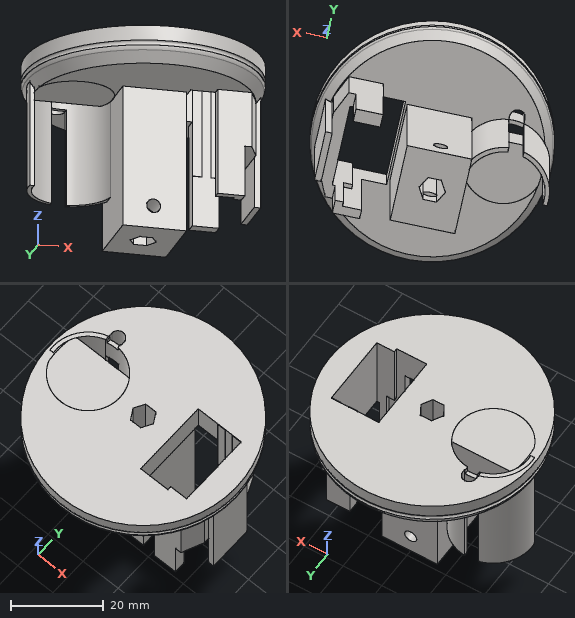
import cadquery as cq
import math

RIM_RADIUS = 26.5
CORE_RADIUS = 24.4
RIM_HEIGHT = 3.45
GROOVE_HEIGHT = 1.1
GROOVE_DEPTH = 0.35
SHOULDER_HEIGHT = 1.0
SHOULDER_INSET = 0.3
SHOULDER_BULGE = 0.1
LID_THICKNESS = 8.0

POST_LEFT = -6.9
POST_WIDTH = 14.3
POST_DEPTH_Y = 17.15
POST_BOTTOM = 40.0
HEX_ACROSS_FLATS = 5.05
CROSS_HOLE_DIAMETER = 3.1
CROSS_HOLE_DROP = 34.95

WELL_X = -15.75
WELL_RADIUS = 9.0
TUBE_RADIUS = 10.0
TUBE_BOTTOM = 30.0
TUBE_FRONT_Y = -1.05
PLUG_BACK_Y = 5.0

NOTCH_X = -16.5
NOTCH_DIAMETER = 3.4
NOTCH_Y = 10.75
NOTCH_SILL_LEFT = -17.85
NOTCH_SILL_RIGHT = -14.95
NOTCH_SILL_DROP = 1.25

BAY_LEFT = 7.9
BAY_RIGHT = 20.15
BAY_HALF_Y = 9.05
BAY_RELIEF_Y = 10.0
KEY_LEFT = 15.65
KEY_BOTTOM = 16.95
LOWER_KEY_LEFT = 17.65
HOLDER_LEFT = 13.45
HOLDER_HALF_Y = 12.0
HOLDER_SHOULDER_X = 21.1
HOLDER_RIGHT = 23.35
HOLDER_RIGHT_HALF_Y = 6.9
HOLDER_WALL_BOTTOM = 20.5
LEG_RIGHT = 19.5
LEG_BOTTOM = 31.95
TAB_RIGHT = 24.85
TAB_HALF_Y = 5.55

STRIP_THICKNESS = 0.1
STRIP_SPANS = [(HOLDER_LEFT, KEY_LEFT), (LOWER_KEY_LEFT, BAY_RIGHT)]


def block(x_min, x_max, y_min, y_max, top, bottom):
    """Box between the given sides, with top and bottom as distances below the lid's top face."""
    size = (x_max - x_min, y_max - y_min, bottom - top)
    return cq.Workplane("XY").box(*size, centered=False).translate((x_min, y_min, -bottom))


def rod(x, y, radius, top, bottom):
    """Vertical cylinder, with top and bottom as distances below the lid's top face."""
    return cq.Workplane("XY", origin=(x, y, -bottom)).circle(radius).extrude(bottom - top)


def lid_blank():
    groove_end = RIM_HEIGHT + GROOVE_HEIGHT
    shoulder_end = groove_end + SHOULDER_HEIGHT
    groove_middle = (RIM_RADIUS - GROOVE_DEPTH, -(RIM_HEIGHT + groove_end) / 2)
    shoulder_middle = (RIM_RADIUS - SHOULDER_BULGE, -(groove_end + shoulder_end) / 2)
    return (
        cq.Workplane("XZ")
        .lineTo(RIM_RADIUS, 0)
        .lineTo(RIM_RADIUS, -RIM_HEIGHT)
        .threePointArc(groove_middle, (RIM_RADIUS, -groove_end))
        .threePointArc(shoulder_middle, (RIM_RADIUS - SHOULDER_INSET, -shoulder_end))
        .lineTo(CORE_RADIUS, -LID_THICKNESS)
        .lineTo(0, -LID_THICKNESS)
        .close()
        .revolve(360, (0, 0), (0, 1))
    )


def post_blank():
    half_y = POST_DEPTH_Y / 2
    return block(POST_LEFT, POST_LEFT + POST_WIDTH, -half_y, half_y, 0, POST_BOTTOM)


def post_holes():
    hexagon = cq.Workplane("XY").polygon(6, HEX_ACROSS_FLATS / math.cos(math.pi / 6))
    cross_hole = (
        cq.Workplane("XZ", origin=(0, 0, -CROSS_HOLE_DROP))
        .circle(CROSS_HOLE_DIAMETER / 2)
        .extrude(POST_DEPTH_Y, both=True)
    )
    return hexagon.extrude(-POST_BOTTOM).union(cross_hole)


def well_opening():
    """Round well, trimmed on its outer side by the lid's core radius."""
    well = rod(WELL_X, 0, WELL_RADIUS, 0, LID_THICKNESS)
    return well.intersect(rod(0, 0, CORE_RADIUS, 0, LID_THICKNESS))


def tube_piece(x_min, x_max, top):
    """Part of the tube wall between two X positions."""
    tube = rod(WELL_X, 0, TUBE_RADIUS, top, TUBE_BOTTOM)
    tube = tube.cut(rod(WELL_X, 0, WELL_RADIUS, top, TUBE_BOTTOM))
    return tube.intersect(block(x_min, x_max, TUBE_FRONT_Y, TUBE_RADIUS, top, TUBE_BOTTOM))


def notch():
    """Through notch outside the tube wall, and a shallow sill across the wall itself."""
    radius = NOTCH_DIAMETER / 2
    through = rod(NOTCH_X, NOTCH_Y, radius, 0, LID_THICKNESS)
    through = through.union(block(NOTCH_X - radius, NOTCH_X + radius, 0, NOTCH_Y, 0, LID_THICKNESS))
    through = through.cut(rod(WELL_X, 0, TUBE_RADIUS, 0, LID_THICKNESS))
    sill = block(NOTCH_SILL_LEFT, NOTCH_SILL_RIGHT, 0, NOTCH_Y, 0, NOTCH_SILL_DROP)
    return through.union(sill)


def holder():
    """Wall around the right end of the bay, with two legs and an outer tab reaching lower."""
    outline = [
        (HOLDER_LEFT, -HOLDER_HALF_Y),
        (HOLDER_SHOULDER_X, -HOLDER_HALF_Y),
        (HOLDER_RIGHT, -HOLDER_RIGHT_HALF_Y),
        (HOLDER_RIGHT, HOLDER_RIGHT_HALF_Y),
        (HOLDER_SHOULDER_X, HOLDER_HALF_Y),
        (HOLDER_LEFT, HOLDER_HALF_Y),
    ]
    body = cq.Workplane("XY", origin=(0, 0, -HOLDER_WALL_BOTTOM)).polyline(outline).close()
    body = body.extrude(HOLDER_WALL_BOTTOM - RIM_HEIGHT)
    legs = block(HOLDER_LEFT, LEG_RIGHT, -HOLDER_HALF_Y, HOLDER_HALF_Y, RIM_HEIGHT, LEG_BOTTOM)
    tab_top = RIM_HEIGHT + GROOVE_HEIGHT
    tab = block(BAY_RIGHT, TAB_RIGHT, -TAB_HALF_Y, TAB_HALF_Y, tab_top, HOLDER_WALL_BOTTOM)
    tab_leg = block(HOLDER_RIGHT, TAB_RIGHT, -TAB_HALF_Y, TAB_HALF_Y, tab_top, LEG_BOTTOM)
    return body.union(legs).union(tab).union(tab_leg)


def bay_opening():
    bay = block(BAY_LEFT, BAY_RIGHT, -BAY_HALF_Y, BAY_HALF_Y, 0, LEG_BOTTOM)
    relief = block(BAY_LEFT, KEY_LEFT, -BAY_RELIEF_Y, 0, 0, LEG_BOTTOM)
    lower_relief = block(BAY_LEFT, LOWER_KEY_LEFT, -BAY_RELIEF_Y, 0, KEY_BOTTOM, LEG_BOTTOM)
    return bay.union(relief).union(lower_relief)


def bay_strip(x_min, x_max):
    """Thin strip on the rear wall of the bay, as tall as the holder wall."""
    return block(x_min, x_max, BAY_HALF_Y - STRIP_THICKNESS, BAY_HALF_Y, 0, HOLDER_WALL_BOTTOM)


notch_left = NOTCH_X - NOTCH_DIAMETER / 2
notch_right = NOTCH_X + NOTCH_DIAMETER / 2

tube_wall = tube_piece(WELL_X - TUBE_RADIUS, notch_left, 0)

plug_back = block(-RIM_RADIUS, 0, PLUG_BACK_Y, RIM_RADIUS, 0, LID_THICKNESS)
plug = well_opening().cut(plug_back)

housing = lid_blank().union(post_blank()).union(holder())
housing = housing.union(tube_piece(notch_right, POST_LEFT, RIM_HEIGHT))
housing = housing.cut(post_holes()).cut(bay_opening()).cut(well_opening())
housing = housing.cut(notch()).cut(tube_wall)

strips = [bay_strip(x_min, x_max) for x_min, x_max in STRIP_SPANS]

bodies = [housing, tube_wall, plug, *strips]
result = cq.Compound.makeCompound([body.solids().val() for body in bodies])